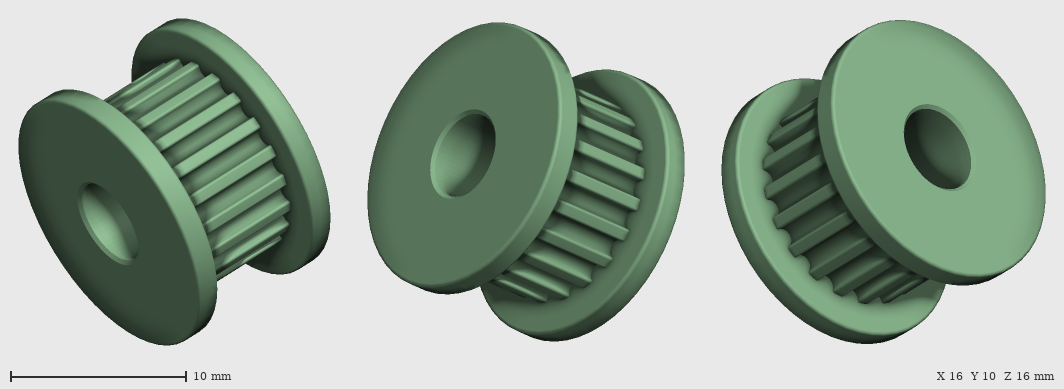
import cadquery as cq
import math

flange_diameter = 16.0
flange_thickness = 1.5
flange_edge_radius = 0.2
overall_width = 10.0
bore_diameter = 5.0
bore_chamfer = 0.2

tooth_count = 20
tooth_pitch = 2.0
pitch_line_offset = 0.254
groove_radius = 0.547
groove_depth = 0.764
tooth_tip_radius = 0.15

pitch_angle = 360.0 / tooth_count
first_groove_angle = 0.75 * pitch_angle
drum_radius = tooth_count * tooth_pitch / (2 * math.pi) - pitch_line_offset
drum_width = overall_width - 2 * flange_thickness
front_face_y = -overall_width / 2
drum_front_y = front_face_y + flange_thickness
drum_back_y = drum_front_y + drum_width


def disc(diameter, front_y, width):
    """Solid disc around the Y axis, from front_y towards +Y."""
    plane = cq.Workplane("XZ", origin=(0, front_y, 0))
    return plane.circle(diameter / 2).extrude(-width)


def flange(front_y):
    """Flange with both rims rounded."""
    return disc(flange_diameter, front_y, flange_thickness).edges().fillet(flange_edge_radius)


def groove_cutter():
    """Belt groove on the +X side of the drum, along its full width.

    A concave round bottom meets a convex round on each side, which leads
    tangentially out onto the drum's outer circle.
    """
    bottom_x = drum_radius - groove_depth
    centre_x = bottom_x + groove_radius
    outer_x = drum_radius + tooth_tip_radius

    tip_orbit = drum_radius - tooth_tip_radius
    centre_distance = groove_radius + tooth_tip_radius
    tip_x = (tip_orbit**2 - centre_distance**2 + centre_x**2) / (2 * centre_x)
    tip_z = math.sqrt(tip_orbit**2 - tip_x**2)

    land_x = tip_x * drum_radius / tip_orbit
    land_z = tip_z * drum_radius / tip_orbit
    wall_x = centre_x + (tip_x - centre_x) * groove_radius / centre_distance
    wall_z = tip_z * groove_radius / centre_distance

    land_angle = math.atan2(land_z - tip_z, land_x - tip_x)
    wall_angle = math.atan2(wall_z - tip_z, wall_x - tip_x)
    middle_angle = (land_angle + wall_angle) / 2
    middle_x = tip_x + tooth_tip_radius * math.cos(middle_angle)
    middle_z = tip_z + tooth_tip_radius * math.sin(middle_angle)

    return (
        cq.Workplane("XZ", origin=(0, drum_front_y, 0))
        .moveTo(outer_x, land_z)
        .lineTo(land_x, land_z)
        .threePointArc((middle_x, middle_z), (wall_x, wall_z))
        .threePointArc((bottom_x, 0), (wall_x, -wall_z))
        .threePointArc((middle_x, -middle_z), (land_x, -land_z))
        .lineTo(outer_x, -land_z)
        .close()
        .extrude(-drum_width)
    )


def toothed_drum():
    """Drum between the flanges with evenly spaced belt grooves."""
    drum = disc(2 * drum_radius, drum_front_y, drum_width)
    cutter = groove_cutter()
    for index in range(tooth_count):
        angle = first_groove_angle + index * pitch_angle
        drum = drum.cut(cutter.rotate((0, 0, 0), (0, 1, 0), -angle))
    return drum


def bore_cutter():
    """Through bore, widened by a chamfer at both ends."""
    radius = bore_diameter / 2
    mouth_radius = radius + bore_chamfer
    back_face_y = front_face_y + overall_width
    return (
        cq.Workplane("XY")
        .moveTo(0, front_face_y)
        .lineTo(mouth_radius, front_face_y)
        .lineTo(radius, front_face_y + bore_chamfer)
        .lineTo(radius, back_face_y - bore_chamfer)
        .lineTo(mouth_radius, back_face_y)
        .lineTo(0, back_face_y)
        .close()
        .revolve(360, (0, 0, 0), (0, 1, 0))
    )


pulley = toothed_drum().union(flange(front_face_y)).union(flange(drum_back_y))
result = pulley.cut(bore_cutter())